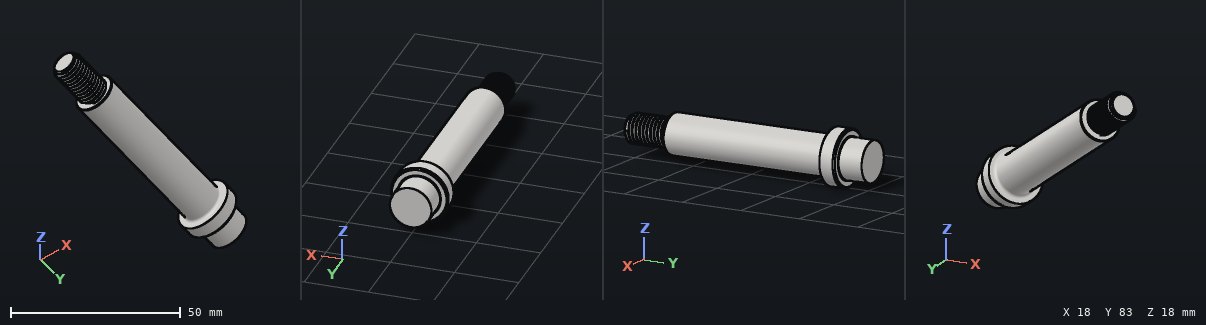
import cadquery as cq

overall_length = 83.0
body_diameter = 13.0

head_length = 8.0
washer_face_diameter = 13.4
washer_face_thickness = 0.1
core_diameter = 8.0
tip_chamfer = 0.5
thread_pitch = 1.25
thread_turns = 11.25
thread_height = 0.7
thread_crest_width = 0.1
thread_root_width = 1.2
thread_root_overlap = 0.05

sleeve_length = 60.0
flange_diameter = 18.0
flange_width = 5.0
flange_chamfer = 0.5
flange_fillet = 1.0
sleeve_end_chamfer = 0.2

head_end_y = overall_length / 2
head_seat_y = head_end_y - head_length
flange_front_y = head_seat_y - flange_width
shoulder_y = head_seat_y - sleeve_length
tip_y = head_end_y - overall_length

core_radius = core_diameter / 2


def cylinder(diameter, start_y, end_y):
    """Cylinder on the Y axis running towards -Y from start_y to end_y."""
    return cq.Workplane("XZ", origin=(0, start_y, 0)).circle(diameter / 2).extrude(start_y - end_y)


def make_thread_ridge():
    """Right-handed ridge on the core, starting at -Z on the shoulder and winding towards -Y."""
    helix = cq.Wire.makeHelix(thread_pitch, thread_pitch * thread_turns, core_radius)
    root_radius = core_radius - thread_root_overlap
    crest_radius = core_radius + thread_height
    half_crest = thread_crest_width / 2
    half_root = thread_root_width / 2
    profile = (
        cq.Workplane("XZ")
        .moveTo(root_radius, -half_root)
        .lineTo(crest_radius, -half_crest)
        .lineTo(crest_radius, half_crest)
        .lineTo(root_radius, half_root)
        .close()
    )
    ridge = profile.sweep(cq.Workplane(helix), isFrenet=True)
    ridge = ridge.rotate((0, 0, 0), (1, 0, 0), 90).rotate((0, 0, 0), (0, 1, 0), 90)
    return ridge.translate((0, shoulder_y, 0))


def make_screw():
    head = cylinder(body_diameter, head_end_y, head_seat_y)
    washer_face = cylinder(washer_face_diameter, head_seat_y + washer_face_thickness, head_seat_y)
    core = cylinder(core_diameter, head_seat_y, tip_y).faces("<Y").chamfer(tip_chamfer)
    shoulder_clearance = cylinder(body_diameter, shoulder_y + thread_pitch, shoulder_y)
    ridge = make_thread_ridge().cut(shoulder_clearance)
    return core.union(ridge).union(head).union(washer_face)


def make_sleeve():
    flange = cylinder(flange_diameter, head_seat_y, flange_front_y).faces(">Y").chamfer(flange_chamfer)
    tube = cylinder(body_diameter, flange_front_y, shoulder_y).faces("<Y").chamfer(sleeve_end_chamfer)
    neck_corner = cq.selectors.BoxSelector(
        (-body_diameter, flange_front_y - flange_fillet, -body_diameter),
        (body_diameter, flange_front_y + flange_fillet, body_diameter),
    )
    smallest_circle = cq.selectors.RadiusNthSelector(0)
    sleeve = flange.union(tube).edges(neck_corner).edges(smallest_circle).fillet(flange_fillet)
    return sleeve.cut(cylinder(core_diameter, head_seat_y, shoulder_y))


screw = make_screw()
sleeve = make_sleeve()

result = cq.Compound.makeCompound([screw.solids().val(), sleeve.solids().val()])